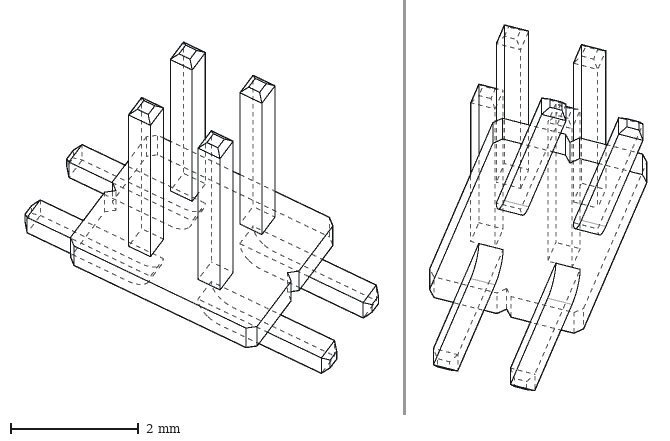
import cadquery as cq

overall_length = 5.57
overall_height = 4.4
pitch = 1.27
pin_width = 0.4
tip_chamfer = 0.1
body_length = 3.405
body_height = 0.505
corner_x = 0.135
corner_y = 0.115
row_count = 2

body_bottom = pin_width
tail_length = overall_length / 2 - (pitch - pin_width) / 2


def body_row(y_center):
    """One row of the insulator: a slab with its four upright corners cut off."""
    half_x = body_length / 2
    half_y = pitch / 2
    outline = [
        (half_x, half_y - corner_y),
        (half_x - corner_x, half_y),
        (corner_x - half_x, half_y),
        (-half_x, half_y - corner_y),
        (-half_x, corner_y - half_y),
        (corner_x - half_x, -half_y),
        (half_x - corner_x, -half_y),
        (half_x, corner_y - half_y),
    ]
    return (
        cq.Workplane("XY")
        .polyline(outline)
        .close()
        .extrude(body_height)
        .translate((0, y_center, body_bottom))
    )


def bent_pin():
    """Right-hand pin: an upright post bent outward into a flat tail along +X."""
    profile = (
        cq.Workplane("XZ")
        .moveTo(0, overall_height)
        .lineTo(0, pin_width)
        .radiusArc((pin_width, 0), -pin_width)
        .lineTo(tail_length, 0)
        .lineTo(tail_length, pin_width)
        .lineTo(pin_width, pin_width)
        .lineTo(pin_width, overall_height)
        .close()
    )
    pin = profile.extrude(pin_width / 2, both=True)
    pin = pin.faces(">Z").chamfer(tip_chamfer)
    pin = pin.faces(">X").chamfer(tip_chamfer)
    return pin.translate(((pitch - pin_width) / 2, 0, 0))


row_centers = [(row - (row_count - 1) / 2) * pitch for row in range(row_count)]
right_pin = bent_pin()
left_pin = right_pin.mirror("YZ")

result = body_row(row_centers[0])
for y_center in row_centers[1:]:
    result = result.union(body_row(y_center))
for y_center in row_centers:
    for pin in (left_pin, right_pin):
        result = result.union(pin.translate((0, y_center, 0)))